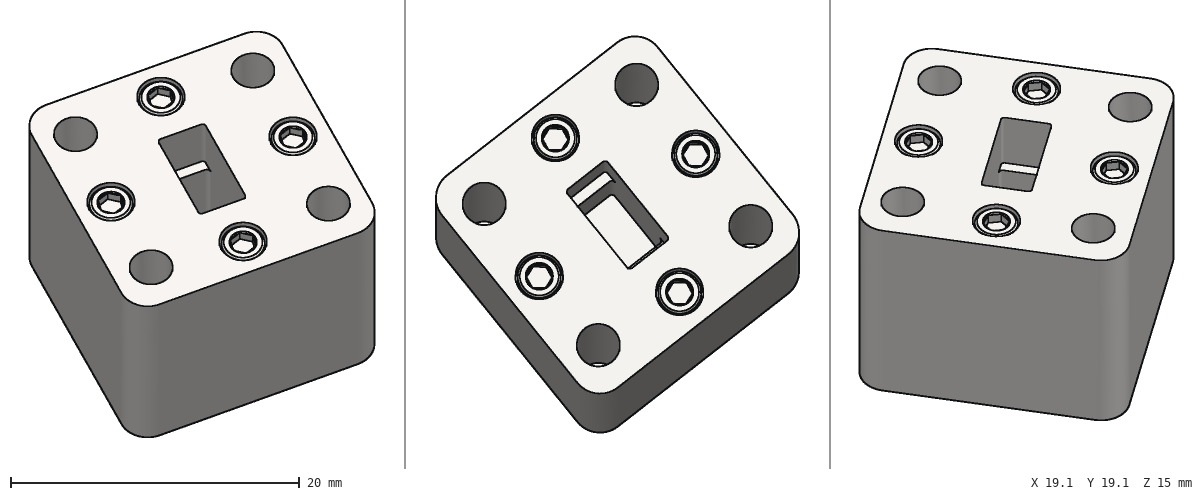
import cadquery as cq

side = 19.05
height = 15.0
cover_thickness = 4.25
body_height = height - cover_thickness
corner_radius = 2.0

mount_hole_diameter = 3.0
mount_spacing_x = 12.7
mount_spacing_y = 13.47

guide_height = 3.56
cover_guide_width = 7.1
body_guide_width = 5.58
body_guide_depth = body_height / 2
cover_guide_corner_radius = 0.25
body_guide_corner_radius = 0.29

screw_offset = 6.92
counterbore_diameter = 3.3
head_diameter = 3.0
head_height = 1.6
head_recess = 0.1
head_edge_chamfer = 0.15
socket_corners = 1.85
socket_turn = -10
socket_depth = head_height / 2
socket_mouth_diameter = 1.9
socket_mouth_chamfer = 0.1


def rounded_block(width, depth, thickness, radius, bottom):
    """Rectangular block with rounded vertical edges, centred on the Z axis."""
    return (
        cq.Workplane("XY", origin=(0, 0, bottom))
        .rect(width, depth)
        .extrude(thickness)
        .edges("|Z")
        .fillet(radius)
    )


def socket_head(top):
    """Screw head on the Z axis with a chamfered rim and a hexagon socket."""
    head = (
        cq.Workplane("XY", origin=(0, 0, top - head_height))
        .circle(head_diameter / 2)
        .extrude(head_height)
        .faces(">Z")
        .chamfer(head_edge_chamfer)
    )
    socket = (
        cq.Workplane("XY", origin=(0, 0, top - socket_depth))
        .polygon(6, socket_corners)
        .extrude(socket_depth)
        .rotate((0, 0, 0), (0, 0, 1), socket_turn)
    )
    mouth_radius = socket_mouth_diameter / 2
    mouth = cq.Workplane(
        cq.Solid.makeCone(
            mouth_radius - socket_mouth_chamfer,
            mouth_radius,
            socket_mouth_chamfer,
            pnt=cq.Vector(0, 0, top - socket_mouth_chamfer),
        )
    )
    return head.cut(socket).cut(mouth)


mount_holes = (
    cq.Workplane("XY")
    .rect(mount_spacing_x, mount_spacing_y, forConstruction=True)
    .vertices()
    .circle(mount_hole_diameter / 2)
    .extrude(height)
)

body_guide = rounded_block(
    body_guide_width,
    guide_height,
    body_guide_depth,
    body_guide_corner_radius,
    body_height - body_guide_depth,
)
body = rounded_block(side, side, body_height, corner_radius, 0)
body = body.cut(body_guide).cut(mount_holes)

cover_guide = rounded_block(
    cover_guide_width, guide_height, cover_thickness, cover_guide_corner_radius, body_height
)
cover = rounded_block(side, side, cover_thickness, corner_radius, body_height)
cover = cover.cut(cover_guide).cut(mount_holes)

head_top = height - head_recess
seat_level = head_top - head_height
screw_places = [
    (screw_offset, 0),
    (0, screw_offset),
    (-screw_offset, 0),
    (0, -screw_offset),
]
counterbores = (
    cq.Workplane("XY", origin=(0, 0, seat_level))
    .pushPoints(screw_places)
    .circle(counterbore_diameter / 2)
    .extrude(height - seat_level)
)
cover = cover.cut(counterbores)
for x, y in screw_places:
    cover = cover.union(socket_head(head_top).translate((x, y, 0)))

result = body.union(cover, clean=False)